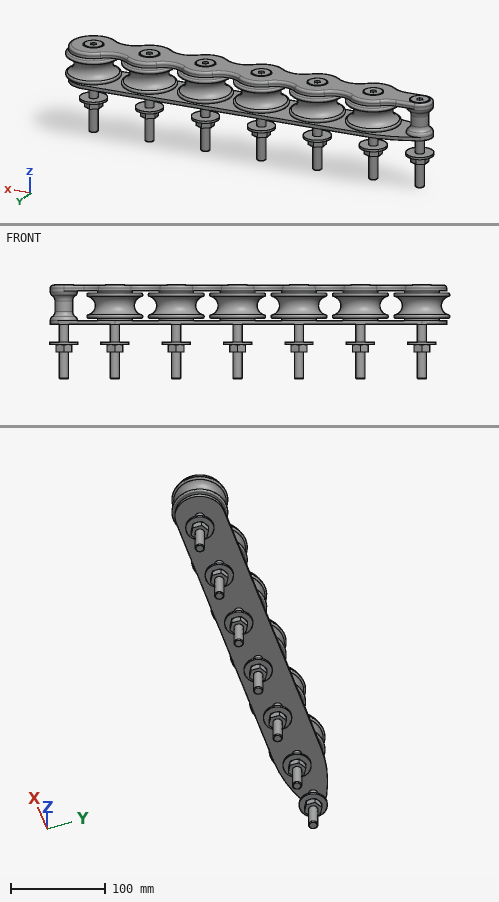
import cadquery as cq
import math


ROLLER_COUNT = 6
ROLLER_PITCH = 65.0
POST_TO_ROLLER = 54.0
ROLLER_XS = [POST_TO_ROLLER + i * ROLLER_PITCH for i in range(ROLLER_COUNT)]
PIN_XS = [0.0] + ROLLER_XS
LAST_X = PIN_XS[-1]

BASE_THICKNESS = 4.0
COVER_THICKNESS = 6.0
LOBE_RADIUS = 26.5
POST_RADIUS = 29.0 / 2
WAIST_HALF_WIDTH = POST_RADIUS
COVER_FILLET = 3.0
PLATE_GAP = 31.5
BASE_TOP = BASE_THICKNESS
COVER_BOTTOM = BASE_TOP + PLATE_GAP
COVER_TOP = COVER_BOTTOM + COVER_THICKNESS

RIM_RADIUS = 29.7
RIM_THICKNESS = 4.0
ROLLER_HEIGHT = 27.0
ROLLER_GAP = 2.3
ROLLER_BOTTOM = BASE_TOP + ROLLER_GAP
GROOVE_RADIUS = 10.0
HUB_RADIUS = 37.0 / 2

NECK_RADIUS = 19.0 / 2
NECK_LENGTH = 11.5
POST_HEIGHT = 30.5
CONCAVE_SHARE = 0.57
COLLAR_RADIUS = POST_RADIUS

SCREW_LENGTH = 100.0
SHANK_RADIUS = 5.0
TIP_CHAMFER = 1.0
HEAD_RADIUS = 10.0
HEAD_PROTRUSION = 0.5
HEAD_RECESS_RADIUS = 11.0
HEAD_RECESS_DEPTH = 2.0
HEAD_TOP = COVER_TOP + HEAD_PROTRUSION
SOCKET_WIDTH = 6.0
SOCKET_DEPTH = 5.0

WASHER_RADIUS = 15.0
WASHER_THICKNESS = 2.5
WASHER_TOP = -18.9
NUT_WIDTH = 17.0
NUT_HEIGHT = 8.0
NUT_CHAMFER_ANGLE = math.radians(30)


def make_base():
    """Flat plate with one rounded end and a bowed taper down to the post."""
    bow_radius = (POST_TO_ROLLER**2 + LOBE_RADIUS**2 - POST_RADIUS**2) / (2 * (LOBE_RADIUS - POST_RADIUS))
    bow_drop = bow_radius - LOBE_RADIUS
    start_angle = math.atan2(bow_drop, -POST_TO_ROLLER)
    mid_angle = (start_angle + math.pi / 2) / 2
    start_x = POST_RADIUS * math.cos(start_angle)
    start_y = POST_RADIUS * math.sin(start_angle)
    mid_x = POST_TO_ROLLER + bow_radius * math.cos(mid_angle)
    mid_y = bow_radius * math.sin(mid_angle) - bow_drop
    return (
        cq.Workplane("XY")
        .moveTo(start_x, start_y)
        .threePointArc((mid_x, mid_y), (POST_TO_ROLLER, LOBE_RADIUS))
        .lineTo(LAST_X, LOBE_RADIUS)
        .threePointArc((LAST_X + LOBE_RADIUS, 0), (LAST_X, -LOBE_RADIUS))
        .lineTo(POST_TO_ROLLER, -LOBE_RADIUS)
        .threePointArc((mid_x, -mid_y), (start_x, -start_y))
        .threePointArc((-POST_RADIUS, 0), (start_x, start_y))
        .close()
        .extrude(BASE_THICKNESS)
    )


def make_cover():
    """Wavy plate: a round lobe over each roller, a waist between lobes and a round cap on the post."""
    half_pitch = ROLLER_PITCH / 2
    waist = WAIST_HALF_WIDTH
    waist_radius = (half_pitch**2 + waist**2 - LOBE_RADIUS**2) / (2 * (LOBE_RADIUS - waist))
    join_share = LOBE_RADIUS / (LOBE_RADIUS + waist_radius)
    join_x = half_pitch * join_share
    join_y = (waist + waist_radius) * join_share
    waist_start = POST_TO_ROLLER - half_pitch

    half_angle = math.atan2(half_pitch, waist + waist_radius) / 2
    half_mid_x = waist_start + waist_radius * math.sin(half_angle)
    half_mid_y = waist + waist_radius * (1 - math.cos(half_angle))

    outline = (
        cq.Workplane("XY", origin=(0, 0, COVER_BOTTOM))
        .moveTo(0, waist)
        .lineTo(waist_start, waist)
        .threePointArc((half_mid_x, half_mid_y), (POST_TO_ROLLER - join_x, join_y))
    )
    for x in ROLLER_XS[:-1]:
        outline = outline.threePointArc((x, LOBE_RADIUS), (x + join_x, join_y))
        outline = outline.threePointArc((x + half_pitch, waist), (x + ROLLER_PITCH - join_x, join_y))
    outline = outline.threePointArc((LAST_X + LOBE_RADIUS, 0), (LAST_X - join_x, -join_y))
    for x in reversed(ROLLER_XS[:-1]):
        outline = outline.threePointArc((x + half_pitch, -waist), (x + join_x, -join_y))
        outline = outline.threePointArc((x, -LOBE_RADIUS), (x - join_x, -join_y))
    outline = (
        outline.threePointArc((half_mid_x, -half_mid_y), (waist_start, -waist))
        .lineTo(0, -waist)
        .close()
    )
    cover = outline.extrude(COVER_THICKNESS).faces(">Z").edges("not <X").fillet(COVER_FILLET)
    cap = cq.Workplane("XY", origin=(0, 0, COVER_BOTTOM)).circle(POST_RADIUS).extrude(COVER_THICKNESS)
    return cover.union(cap.faces(">Z").edges().fillet(COVER_FILLET))


def make_roller(x):
    """Roller with two round-edged rims, a round groove, and a hub that reaches both plates."""
    top = ROLLER_BOTTOM + ROLLER_HEIGHT
    rim_round = RIM_THICKNESS / 2
    round_start = RIM_RADIUS - rim_round
    lower_rim_top = ROLLER_BOTTOM + RIM_THICKNESS
    upper_rim_bottom = top - RIM_THICKNESS
    half_groove_width = ROLLER_HEIGHT / 2 - RIM_THICKNESS
    groove_centre = round_start + math.sqrt(GROOVE_RADIUS**2 - half_groove_width**2)
    groove_root = groove_centre - GROOVE_RADIUS
    body = (
        cq.Workplane("XZ")
        .moveTo(0, ROLLER_BOTTOM)
        .lineTo(round_start, ROLLER_BOTTOM)
        .threePointArc((RIM_RADIUS, ROLLER_BOTTOM + rim_round), (round_start, lower_rim_top))
        .threePointArc((groove_root, ROLLER_BOTTOM + ROLLER_HEIGHT / 2), (round_start, upper_rim_bottom))
        .threePointArc((RIM_RADIUS, top - rim_round), (round_start, top))
        .lineTo(0, top)
        .close()
        .revolve(360, (0, 0, 0), (0, 1, 0))
    )
    hub = cq.Workplane("XY", origin=(0, 0, BASE_TOP)).circle(HUB_RADIUS).extrude(PLATE_GAP)
    return body.union(hub).translate((x, 0, 0))


def make_post():
    """End post: a narrow neck that swells in a smooth S-curve to a full-width collar at each plate."""
    flare_height = (POST_HEIGHT - NECK_LENGTH) / 2
    flare_step = COLLAR_RADIUS - NECK_RADIUS
    turn = 2 * math.atan2(flare_step, flare_height)
    concave_radius = CONCAVE_SHARE * flare_height / math.sin(turn)
    convex_radius = (1 - CONCAVE_SHARE) * flare_height / math.sin(turn)
    top = BASE_TOP + POST_HEIGHT
    middle = BASE_TOP + POST_HEIGHT / 2

    inflection_r = NECK_RADIUS + CONCAVE_SHARE * flare_step
    inflection_rise = NECK_LENGTH / 2 + CONCAVE_SHARE * flare_height
    concave_r = NECK_RADIUS + concave_radius * (1 - math.cos(turn / 2))
    concave_rise = NECK_LENGTH / 2 + concave_radius * math.sin(turn / 2)
    convex_r = COLLAR_RADIUS - convex_radius * (1 - math.cos(turn / 2))
    convex_rise = POST_HEIGHT / 2 - convex_radius * math.sin(turn / 2)
    return (
        cq.Workplane("XZ")
        .moveTo(0, BASE_TOP)
        .lineTo(COLLAR_RADIUS, BASE_TOP)
        .threePointArc((convex_r, middle - convex_rise), (inflection_r, middle - inflection_rise))
        .threePointArc((concave_r, middle - concave_rise), (NECK_RADIUS, middle - NECK_LENGTH / 2))
        .lineTo(NECK_RADIUS, middle + NECK_LENGTH / 2)
        .threePointArc((concave_r, middle + concave_rise), (inflection_r, middle + inflection_rise))
        .threePointArc((convex_r, middle + convex_rise), (COLLAR_RADIUS, top))
        .lineTo(COLLAR_RADIUS, COVER_BOTTOM)
        .lineTo(0, COVER_BOTTOM)
        .close()
        .revolve(360, (0, 0, 0), (0, 1, 0))
    )


def make_screw(x):
    """Screw with a low round head above the cover and a chamfered tip."""
    tip = HEAD_TOP - SCREW_LENGTH
    shank = cq.Workplane("XY", origin=(x, 0, tip)).circle(SHANK_RADIUS).extrude(SCREW_LENGTH)
    shank = shank.faces("<Z").chamfer(TIP_CHAMFER)
    head_bottom = COVER_TOP - HEAD_RECESS_DEPTH
    head = cq.Workplane("XY", origin=(x, 0, head_bottom)).circle(HEAD_RADIUS).extrude(HEAD_TOP - head_bottom)
    return shank.union(head)


def make_head_recess(x):
    """Shallow round recess in the cover that leaves a narrow gap around a screw head."""
    return cq.Workplane("XY", origin=(x, 0, COVER_TOP)).circle(HEAD_RECESS_RADIUS).extrude(-HEAD_RECESS_DEPTH)


def make_socket(x):
    """Hexagonal key socket sunk into a screw head."""
    corner_diameter = SOCKET_WIDTH / math.cos(math.pi / 6)
    return (
        cq.Workplane("XY", origin=(x, 0, HEAD_TOP))
        .polygon(6, corner_diameter)
        .extrude(-SOCKET_DEPTH)
    )


def make_washer_and_nut(x):
    """Washer with a hexagonal nut below it; the nut corners facing the washer are chamfered."""
    nut_top = WASHER_TOP - WASHER_THICKNESS
    corner_radius = NUT_WIDTH / 2 / math.cos(math.pi / 6)
    chamfer_height = (corner_radius - NUT_WIDTH / 2) * math.tan(NUT_CHAMFER_ANGLE)
    washer = cq.Workplane("XY", origin=(x, 0, nut_top)).circle(WASHER_RADIUS).extrude(WASHER_THICKNESS)
    hexagon = (
        cq.Workplane("XY", origin=(x, 0, nut_top))
        .transformed(rotate=(0, 0, 90))
        .polygon(6, 2 * corner_radius)
        .extrude(-NUT_HEIGHT)
    )
    envelope = (
        cq.Workplane("XZ")
        .moveTo(0, nut_top)
        .lineTo(NUT_WIDTH / 2, nut_top)
        .lineTo(corner_radius, nut_top - chamfer_height)
        .lineTo(corner_radius, nut_top - NUT_HEIGHT)
        .lineTo(0, nut_top - NUT_HEIGHT)
        .close()
        .revolve(360, (0, 0, 0), (0, 1, 0))
        .translate((x, 0, 0))
    )
    return washer.union(hexagon.intersect(envelope))


result = make_base().union(make_post()).union(make_cover())
for roller_x in ROLLER_XS:
    result = result.union(make_roller(roller_x))
for pin_x in PIN_XS:
    result = result.cut(make_head_recess(pin_x))
    result = result.union(make_screw(pin_x)).union(make_washer_and_nut(pin_x))
    result = result.cut(make_socket(pin_x))